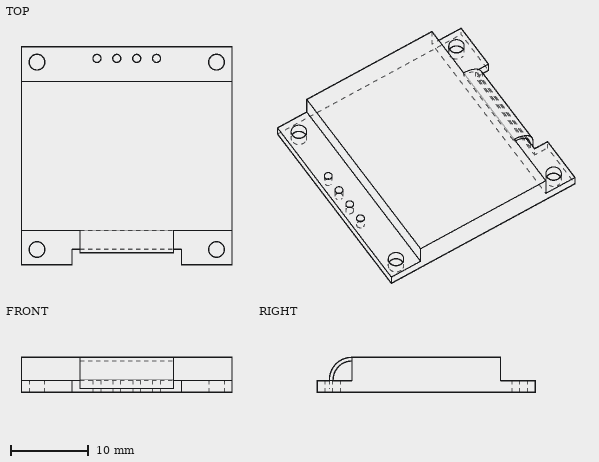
import cadquery as cq
import math

board_width = 27.0
board_length = 28.0
board_thickness = 1.5
notch_width = 14.0
notch_depth = 2.0

mount_diameter = 2.0
mount_inset = 2.0
pin_diameter = 1.0
pin_pitch = 2.55
pin_count = 4
pin_inset = 1.5

total_height = 4.5
panel_margin = 4.45
panel_height = total_height - board_thickness
panel_length = board_length - 2 * panel_margin

cable_width = 12.0
cable_thickness = 0.5
cable_radius = 2.88
cable_tail_bottom = 0.5

board_front = -board_length / 2
board_back = board_length / 2
panel_front = board_front + panel_margin


def make_board():
    """Plate with a front notch, four mounting holes and a row of pin holes."""
    board = cq.Workplane("XY").box(
        board_width, board_length, board_thickness, centered=(True, True, False)
    )
    notch = (
        cq.Workplane("XY")
        .center(0, board_front + notch_depth / 2)
        .rect(notch_width, notch_depth)
        .extrude(board_thickness)
    )
    mount_holes = (
        cq.Workplane("XY")
        .rect(board_width - 2 * mount_inset, board_length - 2 * mount_inset, forConstruction=True)
        .vertices()
        .circle(mount_diameter / 2)
        .extrude(board_thickness)
    )
    pin_holes = (
        cq.Workplane("XY")
        .center(0, board_back - pin_inset)
        .rarray(pin_pitch, 0.28, pin_count, 1)
        .circle(pin_diameter / 2)
        .extrude(board_thickness)
    )
    return board.cut(notch).cut(mount_holes).cut(pin_holes)


def make_panel():
    """Rectangular display block on top of the board."""
    return (
        cq.Workplane("XY")
        .workplane(offset=board_thickness)
        .rect(board_width, panel_length)
        .extrude(panel_height)
    )


def make_cable():
    """Quarter-round bend and a straight tail inside the notch."""
    center_z = total_height - cable_radius
    inner_radius = cable_radius - cable_thickness
    outer_mid = cable_radius * math.sqrt(0.5)
    inner_mid = inner_radius * math.sqrt(0.5)
    return (
        cq.Workplane("YZ")
        .moveTo(panel_front, total_height)
        .threePointArc(
            (panel_front - outer_mid, center_z + outer_mid),
            (panel_front - cable_radius, center_z),
        )
        .lineTo(panel_front - cable_radius, cable_tail_bottom)
        .lineTo(panel_front - inner_radius, cable_tail_bottom)
        .lineTo(panel_front - inner_radius, center_z)
        .threePointArc(
            (panel_front - inner_mid, center_z + inner_mid),
            (panel_front, center_z + inner_radius),
        )
        .close()
        .extrude(cable_width / 2, both=True)
    )


result = make_board().union(make_panel()).union(make_cable())